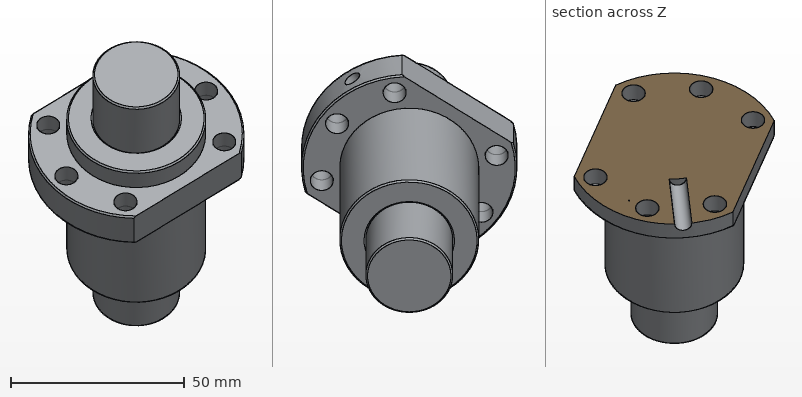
import cadquery as cq
import math

shaft_diameter = 25
shaft_length = 100
nut_diameter = 40
nut_length = 60
edge_chamfer = 0.5
bore_chamfer = 0.5

flange_diameter = 62
flange_width = 48
flange_thickness = 12
flange_setback = 7
flange_top = nut_length / 2 - flange_setback
flange_middle = flange_top - flange_thickness / 2

bolt_circle_radius = 25.5
bolt_hole_diameter = 6.6
bolt_angle_step = 45
bolt_angles = [end + offset for end in (90, 270) for offset in (-bolt_angle_step, 0, bolt_angle_step)]

oil_hole_diameter = 4.9
oil_hole_angle = 90 + bolt_angle_step / 2


def centred_cylinder(diameter, length):
    return cq.Workplane("XY").workplane(offset=-length / 2).circle(diameter / 2).extrude(length)


def make_shaft():
    return centred_cylinder(shaft_diameter, shaft_length).faces("<Z or >Z").chamfer(edge_chamfer)


def make_nut_body():
    return centred_cylinder(nut_diameter, nut_length).faces("<Z or >Z").chamfer(edge_chamfer)


def make_flange():
    disc = centred_cylinder(flange_diameter, flange_thickness).faces("<Z or >Z").chamfer(edge_chamfer)
    flats = cq.Workplane("XY").box(flange_width, flange_diameter, flange_thickness)
    return disc.intersect(flats).translate((0, 0, flange_middle))


def make_bolt_holes():
    centres = [
        (
            bolt_circle_radius * math.cos(math.radians(angle)),
            bolt_circle_radius * math.sin(math.radians(angle)),
        )
        for angle in bolt_angles
    ]
    holes = cq.Workplane("XY").pushPoints(centres).circle(bolt_hole_diameter / 2)
    return holes.extrude(flange_thickness / 2, both=True).translate((0, 0, flange_middle))


def make_oil_hole():
    """Drilling from the flange rim inward to the shaft axis; the shaft is added afterwards."""
    hole = cq.Workplane("YZ").circle(oil_hole_diameter / 2).extrude(flange_diameter / 2)
    return hole.rotate((0, 0, 0), (0, 0, 1), oil_hole_angle).translate((0, 0, flange_middle))


def make_bore():
    return centred_cylinder(shaft_diameter, nut_length)


nut = make_nut_body().union(make_flange())
nut = nut.cut(make_bolt_holes()).cut(make_oil_hole()).cut(make_bore())
nut = nut.faces("<Z or >Z").edges(cq.selectors.RadiusNthSelector(0)).chamfer(bore_chamfer)

result = nut.union(make_shaft())